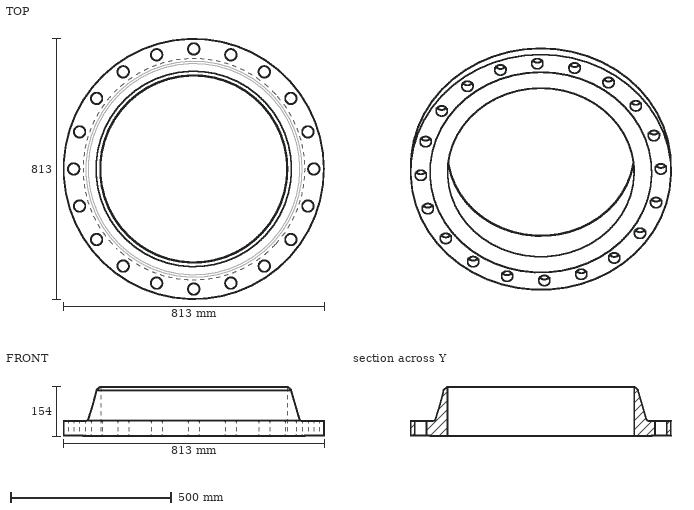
import cadquery as cq
import math

flange_diameter = 813.0
flange_thickness = 46.0

raised_face_diameter = 692.0
raised_face_height = 2.0

overall_height = 154.0
bore_diameter = 582.0
weld_end_diameter = 610.0
hub_base_diameter = 663.0
root_fillet_radius = 7.5

land_height = 4.5
bevel_angle = 40.0
root_face_width = 2.0

bolt_count = 20
bolt_circle_diameter = 749.3
bolt_hole_diameter = 35.0

flange_radius = flange_diameter / 2
raised_face_radius = raised_face_diameter / 2
bore_radius = bore_diameter / 2
weld_end_radius = weld_end_diameter / 2
hub_base_radius = hub_base_diameter / 2
root_face_radius = bore_radius + root_face_width
flange_top = raised_face_height + flange_thickness
bevel_height = (weld_end_radius - root_face_radius) * math.tan(math.radians(bevel_angle))
land_top = overall_height - bevel_height
land_bottom = land_top - land_height


def hub_root_fillet():
    """Start, middle and end points (radius, z) of the arc joining the flange top to the hub cone."""
    cone_angle = math.atan2(land_bottom - flange_top, hub_base_radius - weld_end_radius)
    tangent_length = root_fillet_radius * math.tan(cone_angle / 2)
    start = (hub_base_radius + tangent_length, flange_top)
    end = (
        hub_base_radius - tangent_length * math.cos(cone_angle),
        flange_top + tangent_length * math.sin(cone_angle),
    )
    center_r, center_z = start[0], flange_top + root_fillet_radius
    middle = (
        center_r - root_fillet_radius * math.sin(cone_angle / 2),
        center_z - root_fillet_radius * math.cos(cone_angle / 2),
    )
    return start, middle, end


def make_flange_body():
    """Revolve the half section of the flange, raised face and weld neck about Z."""
    fillet_start, fillet_middle, fillet_end = hub_root_fillet()
    return (
        cq.Workplane("XZ")
        .moveTo(bore_radius, 0)
        .lineTo(raised_face_radius, 0)
        .lineTo(raised_face_radius, raised_face_height)
        .lineTo(flange_radius, raised_face_height)
        .lineTo(flange_radius, flange_top)
        .lineTo(*fillet_start)
        .threePointArc(fillet_middle, fillet_end)
        .lineTo(weld_end_radius, land_bottom)
        .lineTo(weld_end_radius, land_top)
        .lineTo(root_face_radius, overall_height)
        .lineTo(bore_radius, overall_height)
        .close()
        .revolve(360, (0, 0, 0), (0, 1, 0))
    )


def make_bolt_holes():
    """Cylinders through the flange, evenly spaced on the bolt circle."""
    return (
        cq.Workplane("XY")
        .polarArray(bolt_circle_diameter / 2, 0, 360, bolt_count)
        .circle(bolt_hole_diameter / 2)
        .extrude(flange_top)
    )


result = make_flange_body().cut(make_bolt_holes())